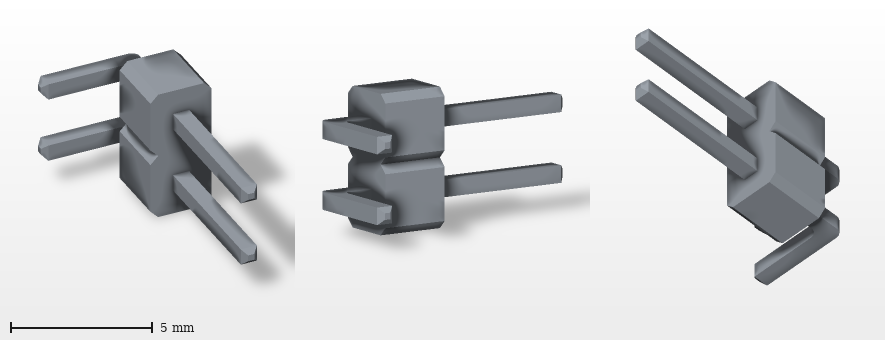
import cadquery as cq

row_depth = 4.81
row_height = 5.08
position_count = 2
pitch = row_height / position_count

block_length = 2.5
block_depth = 2.39
block_chamfer = 0.3
block_start = 1.81

pin_width = 0.63
pin_length = 10.02
pin_drop = row_depth - (block_depth - pin_width) / 2
bend_outer_radius = 0.32
bend_inner_radius = 0.32
tip_length = 0.19
tip_width = 0.24
half_pin = pin_width / 2


def make_block():
    """Block along X with its four long edges chamfered, centred on the pin axis."""
    return (
        cq.Workplane("XY")
        .box(block_length, block_depth, pitch, centered=(False, True, True))
        .edges("|X")
        .chamfer(block_chamfer)
        .translate((block_start, 0, 0))
    )


def make_tip(base_center, direction):
    """Truncated pyramid that tapers from the pin section along the given direction."""
    base = cq.Plane(origin=base_center, xDir=(0, 0, 1), normal=direction)
    return (
        cq.Workplane(base)
        .rect(pin_width, pin_width)
        .workplane(offset=tip_length)
        .rect(tip_width, tip_width)
        .loft(ruled=True)
    )


def make_pin():
    """L-shaped pin: a long arm along +X and a shorter leg along -Y."""
    arm_end = pin_length - tip_length
    leg_end = half_pin - pin_drop + tip_length
    bent_bar = (
        cq.Workplane("XY")
        .workplane(offset=-half_pin)
        .moveTo(0, half_pin)
        .lineTo(arm_end, half_pin)
        .lineTo(arm_end, -half_pin)
        .lineTo(pin_width, -half_pin)
        .lineTo(pin_width, leg_end)
        .lineTo(0, leg_end)
        .close()
        .extrude(pin_width)
    )
    outer_corner = cq.selectors.NearestToPointSelector((0, half_pin, 0))
    inner_corner = cq.selectors.NearestToPointSelector((pin_width, -half_pin, 0))
    bent_bar = bent_bar.edges("|Z").edges(outer_corner).fillet(bend_outer_radius)
    bent_bar = bent_bar.edges("|Z").edges(inner_corner).fillet(bend_inner_radius)
    arm_tip = make_tip((arm_end, 0, 0), (1, 0, 0))
    leg_tip = make_tip((half_pin, leg_end, 0), (0, -1, 0))
    return bent_bar.union(arm_tip).union(leg_tip)


def make_position(center_z):
    """One header position: block and pin as a single solid."""
    return make_block().union(make_pin()).translate((0, 0, center_z))


positions = []
for index in range(position_count):
    center_z = (index - (position_count - 1) / 2) * pitch
    positions.append(make_position(center_z).val())

result = cq.Compound.makeCompound(positions)